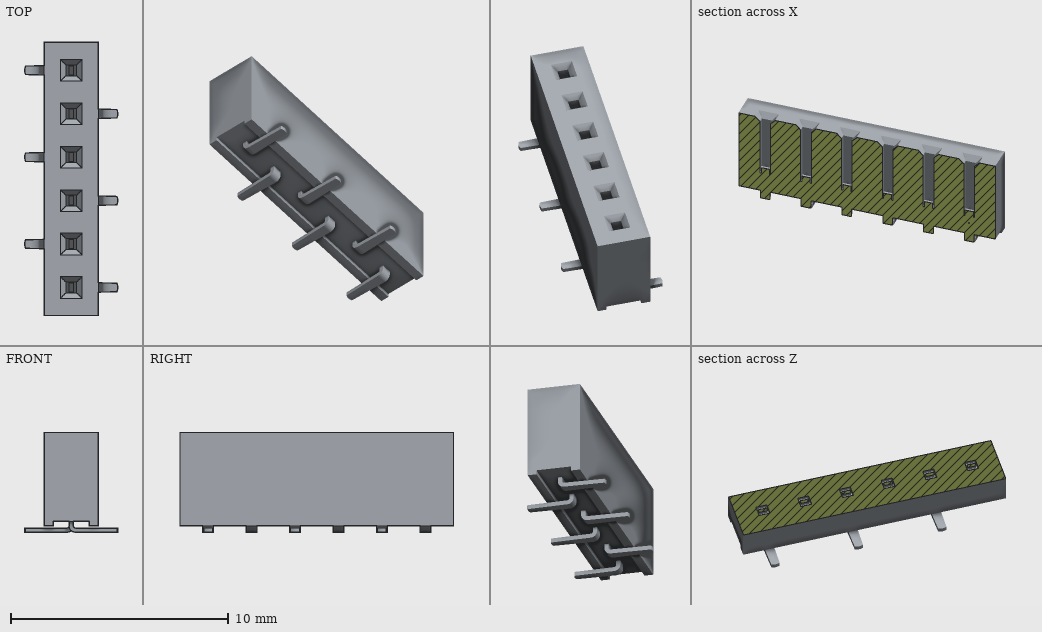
import cadquery as cq

PIN_COUNT = 6
PITCH = 2.0
BODY_WIDTH = 2.5
BODY_LENGTH = 12.6
BODY_HEIGHT = 4.3
OVERALL_HEIGHT = 4.6
BODY_BOTTOM = OVERALL_HEIGHT - BODY_HEIGHT

CHANNEL_WIDTH = 1.65
CHANNEL_DEPTH = 0.2

FUNNEL_SIZE = 1.0
SHAFT_SIZE = 0.5
FUNNEL_DEPTH = (FUNNEL_SIZE - SHAFT_SIZE) / 2
SHAFT_FLOOR = 1.5

STRIP_THICKNESS = 0.2
STRIP_WIDTH = 0.5
STUB_WIDTH = 0.42
STUB_HEIGHT = 0.3
BEND_INNER_RADIUS = 0.1
BEND_OUTER_RADIUS = BEND_INNER_RADIUS + STRIP_THICKNESS
BEND_END_X = STRIP_THICKNESS / 2 + BEND_INNER_RADIUS
LEG_SPAN = 4.3
LEG_REACH = LEG_SPAN / 2
LEG_TIP_WIDTH = 0.4
LEG_TIP_ROUNDING = 0.05


def make_housing():
    """Rectangular block with a shallow channel running along its underside."""
    base = cq.Workplane("XY", origin=(0, 0, BODY_BOTTOM))
    block = base.rect(BODY_WIDTH, BODY_LENGTH).extrude(BODY_HEIGHT)
    channel = base.rect(CHANNEL_WIDTH, BODY_LENGTH).extrude(CHANNEL_DEPTH)
    return block.cut(channel)


def make_socket(y):
    """Volume removed for one socket: tapered mouth plus straight shaft."""
    funnel = (
        cq.Workplane("XY", origin=(0, y, OVERALL_HEIGHT))
        .rect(FUNNEL_SIZE, FUNNEL_SIZE)
        .workplane(offset=-FUNNEL_DEPTH)
        .rect(SHAFT_SIZE, SHAFT_SIZE)
        .loft(ruled=True)
    )
    shaft_depth = OVERALL_HEIGHT - FUNNEL_DEPTH - SHAFT_FLOOR
    shaft = (
        cq.Workplane("XY", origin=(0, y, SHAFT_FLOOR))
        .rect(SHAFT_SIZE, SHAFT_SIZE)
        .extrude(shaft_depth)
    )
    return funnel.union(shaft)


def make_leg():
    """Flat leg towards +X that tapers from the bend to a rounded tip."""
    root_half = STRIP_WIDTH / 2
    tip_half = LEG_TIP_WIDTH / 2
    shoulder_x = LEG_REACH - LEG_TIP_ROUNDING
    return (
        cq.Workplane("XY")
        .moveTo(BEND_END_X, -root_half)
        .lineTo(shoulder_x, -tip_half)
        .threePointArc((LEG_REACH, 0), (shoulder_x, tip_half))
        .lineTo(BEND_END_X, root_half)
        .close()
        .extrude(STRIP_THICKNESS)
    )


def make_bent_stem():
    """Upright strip from the shaft down to the end of the bend."""
    half = STRIP_THICKNESS / 2
    return (
        cq.Workplane("XZ")
        .moveTo(-half, SHAFT_FLOOR)
        .lineTo(-half, BEND_OUTER_RADIUS)
        .radiusArc((BEND_END_X, 0), -BEND_OUTER_RADIUS)
        .lineTo(BEND_END_X, STRIP_THICKNESS)
        .radiusArc((half, BEND_OUTER_RADIUS), BEND_INNER_RADIUS)
        .lineTo(half, SHAFT_FLOOR)
        .close()
        .extrude(STRIP_WIDTH / 2, both=True)
    )


def make_stub():
    """Slightly narrower end of the contact standing on the shaft floor."""
    return (
        cq.Workplane("XY", origin=(0, 0, SHAFT_FLOOR))
        .rect(STRIP_THICKNESS, STUB_WIDTH)
        .extrude(STUB_HEIGHT)
    )


def make_contact(y, side):
    """One contact at position y; side is +1 for a leg towards +X, -1 towards -X."""
    contact = make_bent_stem().union(make_leg()).union(make_stub())
    if side < 0:
        contact = contact.mirror("YZ")
    return contact.translate((0, y, 0))


result = make_housing()
for index in range(PIN_COUNT):
    pin_y = (index - (PIN_COUNT - 1) / 2) * PITCH
    leg_side = 1 if index % 2 == 0 else -1
    result = result.cut(make_socket(pin_y)).union(make_contact(pin_y, leg_side))